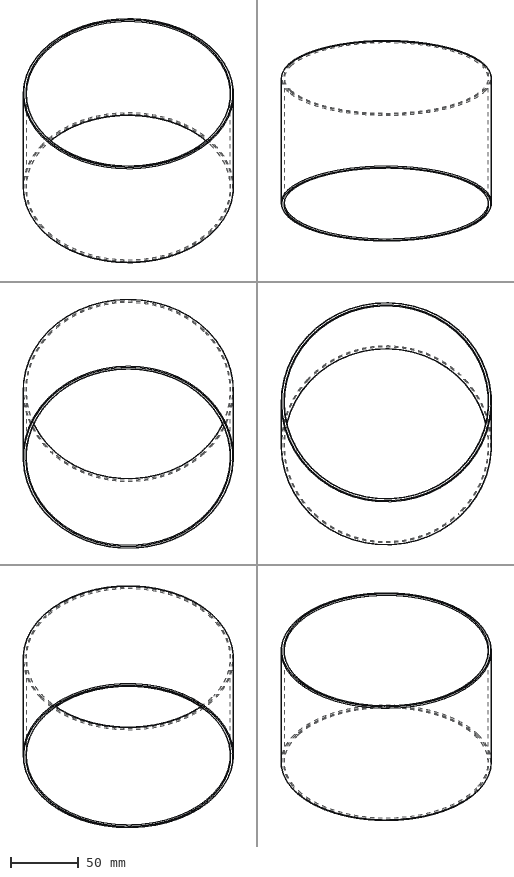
import cadquery as cq

outer_diameter = 155.0
length = 100.0
wall = 2.5
bevel_height = 1.0
bevel_depth = 0.5

outer_radius = outer_diameter / 2
inner_radius = outer_radius - wall
rim_outer_radius = outer_radius - bevel_depth
rim_inner_radius = inner_radius + bevel_depth

wall_section = [
    (rim_inner_radius, 0),
    (rim_outer_radius, 0),
    (outer_radius, bevel_height),
    (outer_radius, length - bevel_height),
    (rim_outer_radius, length),
    (rim_inner_radius, length),
    (inner_radius, length - bevel_height),
    (inner_radius, bevel_height),
]

axis_start = (0, 0)
axis_end = (0, 1)
full_turn = 360

result = (
    cq.Workplane("XZ")
    .polyline(wall_section)
    .close()
    .revolve(full_turn, axis_start, axis_end)
)